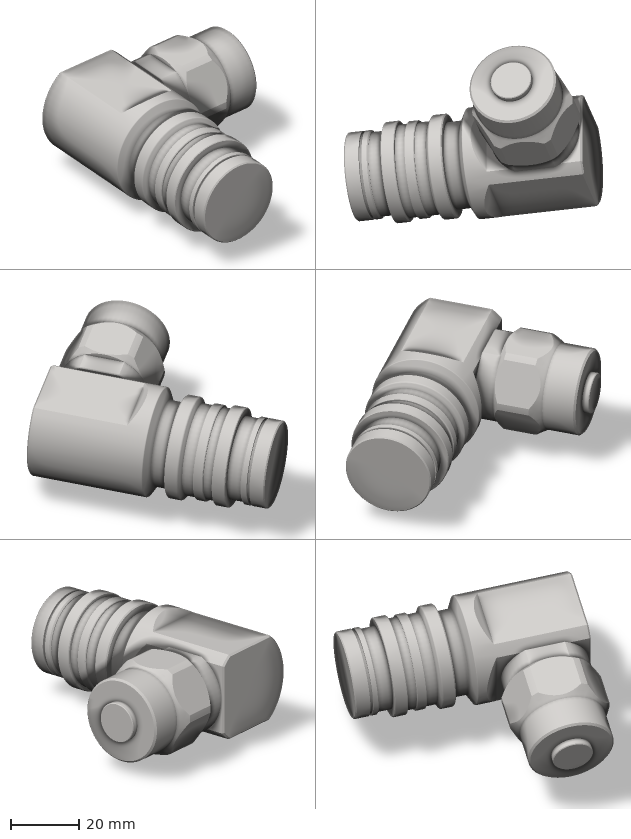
import cadquery as cq
import math


body_radius = 16.5
body_start = -14.0
body_end_chamfer = 0.5
flat_end = 14.7
top_flat_height = 13.45
branch_flat_height = 12.6
rim_end = 21.2
rim_fillet = 0.35
rim_cone_end = 23.2
rim_cone_fillet = 0.6

plug_end = 57.6
plug_end_chamfer = 0.35
undercut_radius = 12.95
core_radius = 13.8
tail_radius = 12.5
tip_radius = 13.15

label_ring_radius = 15.5
label_ring_start = 27.6
label_ring_end = 32.7
label_ring_cone_start = 31.7
label_ring_fillet = 0.6
label_ring_chamfer = 0.35

core_end = 46.1
tip_start = 53.1

core_rings = [
    (36.1, 39.2, 14.5),
    (42.0, core_end, 15.0),
]
core_ring_chamfer = 0.2

collar_start = 50.2
collar_end = 52.2
collar_chamfer = 0.4

neck_radius = 13.4
neck_flat_height = 11.9
neck_base_chamfer = 0.3
nut_across_flats = 27.25
nut_corner_radius = 15.1
nut_start = 18.3
nut_end = 33.4
nut_start_radius = 13.45
nut_start_cone_height = 1.8
nut_end_cone_height = 3.5
sleeve_radius = 13.0
sleeve_end = 43.5
sleeve_chamfer = 0.6
pin_radius = 6.1
pin_end = 45.5
pin_chamfer = 0.2


def x_turned(points):
    """Revolve a closed (x, radius) outline about the X axis."""
    return cq.Workplane("XY").polyline(points).close().revolve(360, (0, 0, 0), (1, 0, 0))


def x_cylinder(start, end, radius):
    """Cylinder on the main axis."""
    return cq.Workplane("YZ").workplane(offset=start).circle(radius).extrude(end - start)


def round_edge(solid, x, radius):
    """Fillet the circular edge centred on the main axis at the given x."""
    edge = cq.selectors.NearestToPointSelector((x, 0, 0))
    return solid.edges("%CIRCLE").edges(edge).fillet(radius)


def y_turned(points):
    """Revolve a closed (radius, y) outline about the Y axis."""
    return cq.Workplane("XY").polyline(points).close().revolve(360, (0, 0, 0), (0, 1, 0))


def y_cylinder(start, end, radius):
    """Cylinder on the branch axis."""
    return cq.Workplane("XZ").workplane(offset=-start).circle(radius).extrude(start - end)


def flat_cutter(height):
    """Material above a +Z flat, closed by a 45-degree ramp at the rim."""
    clearance = 0.7
    top = body_radius + clearance
    outline = [
        (body_start - clearance, height),
        (flat_end, height),
        (flat_end + top - height, top),
        (body_start - clearance, top),
    ]
    return cq.Workplane("XZ").polyline(outline).close().extrude(body_radius, both=True)


def make_body():
    body = x_turned([
        (body_start, 0),
        (body_start, body_radius),
        (rim_end, body_radius),
        (rim_cone_end, undercut_radius),
        (label_ring_start, undercut_radius),
        (label_ring_start, 0),
    ])
    body = round_edge(body, rim_end, rim_fillet)
    body = round_edge(body, rim_cone_end, rim_cone_fillet)

    side_cutter = flat_cutter(top_flat_height)
    branch_cutter = flat_cutter(branch_flat_height).rotate((0, 0, 0), (1, 0, 0), -90)
    body = body.cut(side_cutter).cut(side_cutter.mirror("XY")).cut(branch_cutter)
    return body.faces("<X").chamfer(body_end_chamfer)


def make_plug():
    plug = x_turned([
        (label_ring_start, 0),
        (label_ring_start, label_ring_radius - label_ring_chamfer),
        (label_ring_start + label_ring_chamfer, label_ring_radius),
        (label_ring_cone_start, label_ring_radius),
        (label_ring_end, core_radius),
        (label_ring_end, 0),
    ])
    plug = round_edge(plug, label_ring_cone_start, label_ring_fillet)

    plug = plug.union(x_cylinder(label_ring_end, core_end, core_radius))
    for start, end, radius in core_rings:
        ring = x_cylinder(start, end, radius).faces("<X or >X").chamfer(core_ring_chamfer)
        plug = plug.union(ring)

    tail = x_cylinder(core_end, tip_start, tail_radius)
    collar = x_cylinder(collar_start, collar_end, tip_radius).faces("<X").chamfer(collar_chamfer)
    tip = x_cylinder(tip_start, plug_end, tip_radius).faces(">X").chamfer(plug_end_chamfer)
    return plug.union(tail).union(collar).union(tip)


def make_neck():
    """Round neck with two wrench flats facing +Z and -Z."""
    flats = cq.Workplane("XY").box(2 * neck_radius, 2 * nut_end, 2 * neck_flat_height)
    neck = y_cylinder(branch_flat_height, nut_start, neck_radius).intersect(flats)
    return neck.faces("<Y").chamfer(neck_base_chamfer)


def make_nut():
    """Hexagon with flats facing +Z and -Z, its corners turned down to a coned drum."""
    across_corners = nut_across_flats / math.cos(math.pi / 6)
    hexagon = (
        cq.Workplane("XZ").workplane(offset=-nut_start)
        .polygon(6, across_corners).extrude(nut_start - nut_end)
    )
    drum = y_turned([
        (0, nut_start),
        (nut_start_radius, nut_start),
        (nut_corner_radius, nut_start + nut_start_cone_height),
        (nut_corner_radius, nut_end - nut_end_cone_height),
        (sleeve_radius, nut_end),
        (0, nut_end),
    ])
    return hexagon.intersect(drum)


def make_sleeve():
    sleeve = y_cylinder(nut_end, sleeve_end, sleeve_radius).faces(">Y").chamfer(sleeve_chamfer)
    pin = y_cylinder(sleeve_end, pin_end, pin_radius).faces(">Y").chamfer(pin_chamfer)
    return sleeve.union(pin)


result = (
    make_body()
    .union(make_plug())
    .union(make_neck())
    .union(make_nut())
    .union(make_sleeve())
)